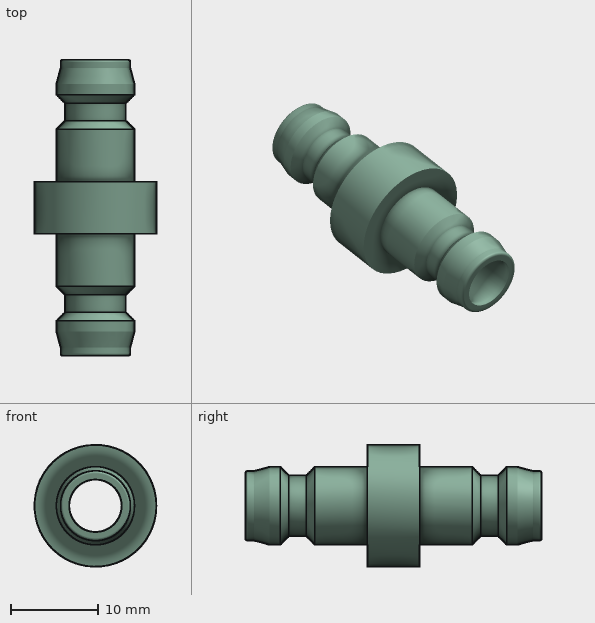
import cadquery as cq

length = 34.0
bore_radius = 3.0
body_radius = 4.5
groove_radius = 3.5
tip_radius = 4.0
collar_radius = 7.0
collar_width = 6.0

tip_rounding = 0.3
tip_length = 1.0
taper_end = 2.8
rim_end = 4.0
groove_slope = body_radius - groove_radius
groove_start = rim_end + groove_slope
groove_end = 7.0
body_start = groove_end + groove_slope

half_length = length / 2


def make_spigot():
    """Revolve the plug profile from the middle of the part out to the +Y end."""
    profile = (
        cq.Workplane("XY")
        .moveTo(0, 0)
        .lineTo(body_radius, 0)
        .lineTo(body_radius, half_length - body_start)
        .lineTo(groove_radius, half_length - groove_end)
        .lineTo(groove_radius, half_length - groove_start)
        .lineTo(body_radius, half_length - rim_end)
        .lineTo(body_radius, half_length - taper_end)
        .lineTo(tip_radius, half_length - tip_length)
        .lineTo(tip_radius, half_length)
        .lineTo(0, half_length)
        .close()
    )
    spigot = profile.revolve(360, (0, 0, 0), (0, 1, 0))
    return spigot.faces(">Y").edges().fillet(tip_rounding)


def make_cylinder(radius, width):
    """Cylinder along Y, centred on the origin."""
    return cq.Workplane("XZ", origin=(0, width / 2, 0)).circle(radius).extrude(width)


spigot = make_spigot()
collar = make_cylinder(collar_radius, collar_width)
bore = make_cylinder(bore_radius, length)

result = collar.union(spigot).union(spigot.mirror("XZ")).cut(bore)